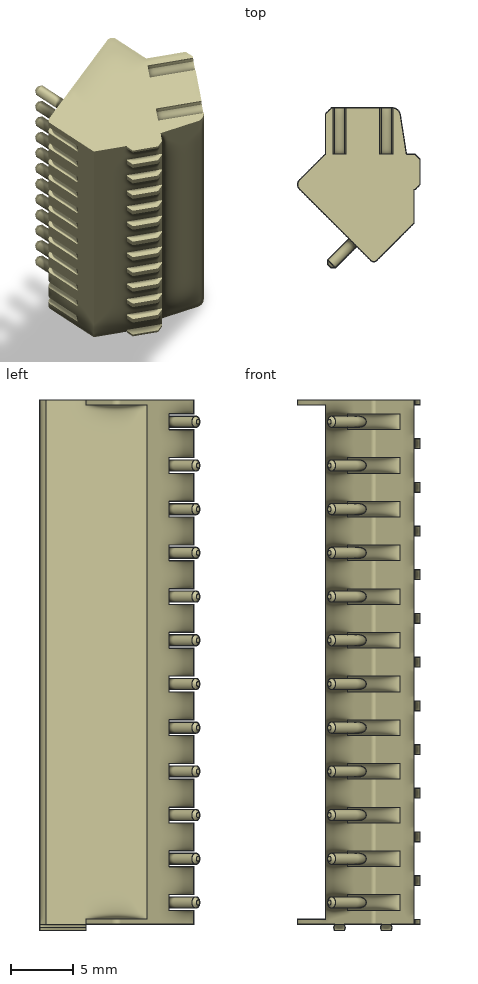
import cadquery as cq
import math

pole_count = 12
pole_pitch = 3.5
length = pole_count * pole_pitch
end_plate = 0.42

plug_depth = 3.72
plug_chamfer = 0.5
plug_top_width = 5.92
plug_root_width = 6.5
plug_round = 0.7
body_width = 7.1
nose_reach = 2.44
nose_radius = 0.5
tip_x = 3.88
tip_radius = 0.3
nose_y = -plug_depth - nose_reach
tip_y = nose_y - (tip_x + nose_reach)
back_corner_y = tip_y + (body_width - tip_x)

tab_reach = 0.48
tab_width = 0.8
tab_length = 2.85
tab_chamfer = 0.4

joint_centers = (1.13, 4.88)
joint_length = plug_depth
joint_height = 0.5
rib_widths = (0.75, 0.95, 0.8)
groove_widths = (1.05, 1.05, 0.8)

pin_radius = 0.45
pin_chamfer = 0.25
pin_length = 4.5
pin_tip_x = 0.32
pin_tip_y = -12.69
slot_width = 1.25
slot_floor_y = -10.37


def make_housing():
    """Full-length section with rounded nose and tip, narrowed between the end plates."""
    housing = (
        cq.Workplane("XY")
        .moveTo(plug_chamfer, 0)
        .lineTo(plug_top_width, 0)
        .lineTo(plug_root_width, -plug_depth)
        .lineTo(body_width, -plug_depth)
        .lineTo(body_width, back_corner_y)
        .lineTo(tip_x, tip_y)
        .lineTo(-nose_reach, nose_y)
        .lineTo(0, -plug_depth)
        .lineTo(0, -plug_chamfer)
        .close()
        .extrude(length)
    )
    housing = round_edge(housing, plug_top_width, 0, plug_round)
    housing = round_edge(housing, tip_x, tip_y, tip_radius)
    housing = round_edge(housing, -nose_reach, nose_y, nose_radius)

    overhang = cq.Workplane("XY").box(
        nose_reach, -tip_y, length - 2 * end_plate, centered=False
    )
    return housing.cut(overhang.translate((-nose_reach, tip_y, end_plate)))


def round_edge(body, x, y, radius):
    """Round the lengthwise edge at (x, y)."""
    edge = cq.selectors.NearestToPointSelector((x, y, length / 2))
    return body.edges(edge).fillet(radius)


def make_tabs():
    """Tabs at every pole boundary; the two outermost are halved by the ends."""
    root_y = -plug_depth
    foot_y = root_y - tab_length
    outer_x = body_width + tab_reach
    profile = (
        cq.Workplane("XY")
        .moveTo(plug_root_width, root_y)
        .lineTo(outer_x - tab_chamfer, root_y)
        .lineTo(outer_x, root_y - tab_chamfer)
        .lineTo(outer_x, foot_y + tab_chamfer)
        .lineTo(outer_x - tab_chamfer, foot_y)
        .lineTo(plug_root_width, foot_y)
        .close()
    )
    tab = profile.extrude(tab_width)
    tabs = cq.Workplane("XY")
    for boundary in range(pole_count + 1):
        start = boundary * pole_pitch - tab_width / 2
        tabs = tabs.add(tab.translate((0, 0, start)))
    ends = cq.Workplane("XY").box(outer_x, -foot_y, length, centered=False)
    return tabs.combine().intersect(ends.translate((0, foot_y, 0)))


def make_joint(base_z, widths):
    """Profiled bars below base_z, with the widths at their top, half height and bottom."""
    base_half, middle_half, tip_half = [width / 2 for width in widths]
    bars = cq.Workplane("XZ")
    for center in joint_centers:
        bars = (
            bars.moveTo(center - base_half, base_z)
            .lineTo(center - middle_half, base_z - joint_height / 2)
            .lineTo(center - tip_half, base_z - joint_height)
            .lineTo(center + tip_half, base_z - joint_height)
            .lineTo(center + middle_half, base_z - joint_height / 2)
            .lineTo(center + base_half, base_z)
            .close()
        )
    return bars.extrude(joint_length)


def make_slot(center_z):
    """Slot cut across the tip edge, open to both 45 degree faces."""
    slot = cq.Workplane("XY").box(
        body_width, slot_floor_y - tip_y, slot_width, centered=(False, False, True)
    )
    return slot.translate((0, tip_y, center_z))


def make_pin(center_z):
    """Round pin leaving the housing at 45 degrees, with a chamfered tip."""
    axis = cq.Vector(math.sqrt(0.5), math.sqrt(0.5), 0)
    plane = cq.Plane(
        origin=(pin_tip_x, pin_tip_y, center_z), xDir=(0, 0, 1), normal=axis
    )
    pin = cq.Workplane(plane).circle(pin_radius).extrude(pin_length)
    return pin.edges(cq.selectors.NearestToPointSelector(plane.origin)).chamfer(pin_chamfer)


result = make_housing().union(make_tabs())
result = result.cut(make_joint(length, groove_widths))
result = result.union(make_joint(0, rib_widths))
for pole in range(pole_count):
    pole_z = (pole + 0.5) * pole_pitch
    result = result.cut(make_slot(pole_z)).union(make_pin(pole_z))